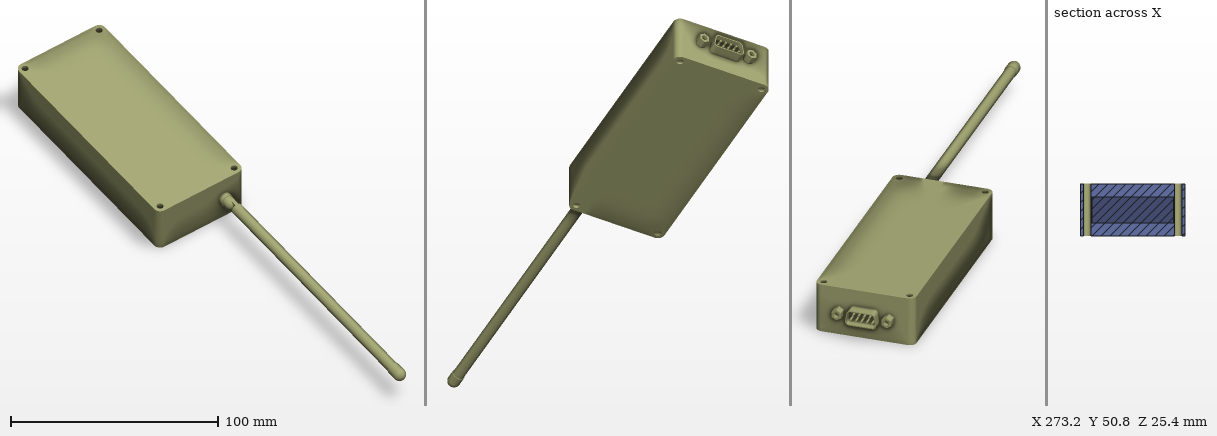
import cadquery as cq
import math

housing_length = 119.38
housing_width = 50.8
housing_height = 25.4
corner_radius = 3.5
mid_z = housing_height / 2
screw_hole_diameter = 3.4
screw_hole_inset = corner_radius

label_length = 57.6
label_width = 43.6
label_thickness = 0.5
label_corner_radius = 2.5
label_x = 79.8

flange_width = 38.9
flange_height = 12.2
flange_thickness = 3.0
shell_reach = 5.8
shell_height = 7.9
shell_wide_width = 16.6
shell_side_angle = 10.0
shell_corner_radius = 2.0
shell_wall = 0.5
pin_diameter = 1.1
pin_reach = 5.0
pin_pitch = 2.77
pin_row_spacing = 2.84
pin_row_counts = {-1: 5, 1: 4}
post_spacing = 25.5
post_reach = 4.8
post_hex_size = 4.8
post_bore_diameter = 2.8
post_bore_depth = post_reach

base_y = 13.6
collar_diameter = 6.5
collar_length = 2.6
knuckle_diameter = 5.8
knuckle_length = 4.9
slot_start = knuckle_length

antenna_y = 14.3
tongue_thickness = 1.7
rod_diameter = 5.8
rod_start = 9.4
cap_start = 139.7
cap_diameter = 6.5
antenna_reach = 147.98


def make_label():
    return (
        cq.Workplane("XY", origin=(label_x, 0, housing_height - label_thickness))
        .rect(label_length, label_width)
        .extrude(label_thickness)
        .edges("|Z")
        .fillet(label_corner_radius)
    )


def make_flange():
    return (
        cq.Workplane("YZ", origin=(0, 0, mid_z))
        .rect(flange_width, flange_height)
        .extrude(flange_thickness)
    )


def make_shell_prism(reach, inset):
    """D-shaped prism on the left face, its wide side down, shrunk all round by the inset."""
    half_height = shell_height / 2
    half_wide = shell_wide_width / 2
    half_narrow = half_wide - shell_height * math.tan(math.radians(shell_side_angle))
    outer = (
        cq.Workplane("YZ", origin=(0, 0, mid_z))
        .polyline([
            (-half_wide, -half_height),
            (half_wide, -half_height),
            (half_narrow, half_height),
            (-half_narrow, half_height),
        ])
        .close()
    )
    prism = outer.offset2D(-inset) if inset else outer
    return prism.extrude(-reach).edges("|X").fillet(shell_corner_radius - inset)


def make_shell():
    return make_shell_prism(shell_reach, 0).cut(make_shell_prism(shell_reach, shell_wall))


def make_pins():
    places = []
    for side, count in pin_row_counts.items():
        for index in range(count):
            y = (index - (count - 1) / 2) * pin_pitch
            places.append((y, side * pin_row_spacing / 2))
    return (
        cq.Workplane("YZ", origin=(0, 0, mid_z))
        .pushPoints(places)
        .circle(pin_diameter / 2)
        .extrude(-pin_reach)
    )


def make_connector():
    post_places = [(0, -post_spacing / 2), (0, post_spacing / 2)]
    posts = (
        cq.Workplane("YZ", origin=(-post_reach, 0, mid_z))
        .transformed(rotate=(0, 0, 90))
        .pushPoints(post_places)
        .polygon(6, post_hex_size / math.cos(math.pi / 6))
        .extrude(post_reach)
    )
    bores = (
        cq.Workplane("YZ", origin=(-post_reach, 0, mid_z))
        .transformed(rotate=(0, 0, 90))
        .pushPoints(post_places)
        .circle(post_bore_diameter / 2)
        .extrude(post_bore_depth)
    )
    return make_flange().union(make_shell()).union(make_pins()).union(posts).cut(bores)


def turn_about_x(profile):
    """Full turn of a half profile, drawn in a vertical plane above its X axis."""
    return profile.close().revolve(360, (0, 0, 0), (1, 0, 0))


def make_tongue():
    """Flat blade ahead of the rod that fills the slot in the base."""
    return (
        cq.Workplane("XY", origin=(housing_length + slot_start, antenna_y, mid_z))
        .box(rod_start - slot_start, tongue_thickness, rod_diameter, centered=(False, True, True))
    )


def make_antenna_base():
    collar_radius = collar_diameter / 2
    knuckle_radius = knuckle_diameter / 2
    stub = turn_about_x(
        cq.Workplane("XZ", origin=(housing_length, base_y, mid_z))
        .lineTo(0, collar_radius)
        .lineTo(collar_length, collar_radius)
        .lineTo(collar_length, knuckle_radius)
        .lineTo(knuckle_length, knuckle_radius)
        .radiusArc((knuckle_length + knuckle_radius, 0), knuckle_radius)
    )
    return stub.cut(make_tongue())


def make_antenna():
    rod_radius = rod_diameter / 2
    cap_radius = cap_diameter / 2
    dome_start = antenna_reach - cap_radius
    rod_and_cap = turn_about_x(
        cq.Workplane("XZ", origin=(housing_length, antenna_y, mid_z))
        .moveTo(rod_start, 0)
        .lineTo(rod_start, rod_radius)
        .lineTo(cap_start, rod_radius)
        .lineTo(cap_start, cap_radius)
        .lineTo(dome_start, cap_radius)
        .radiusArc((antenna_reach, 0), cap_radius)
    )
    return make_tongue().union(rod_and_cap)


def make_housing():
    block = (
        cq.Workplane("XY")
        .box(housing_length, housing_width, housing_height, centered=(False, True, False))
        .edges("|Z")
        .fillet(corner_radius)
    )
    hole_span_x = housing_length - 2 * screw_hole_inset
    hole_span_y = housing_width - 2 * screw_hole_inset
    screw_holes = (
        cq.Workplane("XY", origin=(housing_length / 2, 0, 0))
        .rect(hole_span_x, hole_span_y, forConstruction=True)
        .vertices()
        .circle(screw_hole_diameter / 2)
        .extrude(housing_height)
    )
    return block.cut(screw_holes).cut(make_label()).cut(make_flange())


housing = make_housing()
label = make_label()
connector = make_connector()
antenna_base = make_antenna_base()
antenna = make_antenna()

result = cq.Compound.makeCompound([
    housing.val(),
    label.val(),
    connector.val(),
    antenna_base.val(),
    antenna.val(),
])